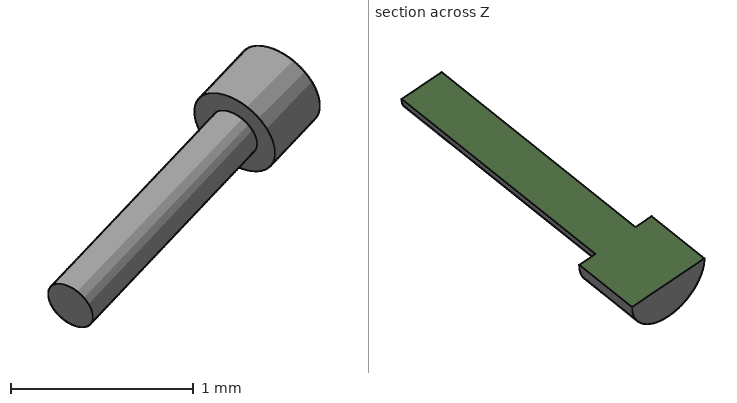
import cadquery as cq

total_length = 2.0
head_length = 0.43
head_diameter = 0.54
shank_diameter = 0.3

shank_length = total_length - head_length


def cylinder_along_y(diameter, start_y, length):
    """Solid cylinder on the Y axis, growing from start_y toward +Y."""
    circle_plane = cq.Workplane("XZ", origin=(0, start_y, 0))
    return circle_plane.circle(diameter / 2).extrude(-length)


shank = cylinder_along_y(shank_diameter, 0, shank_length)
head = cylinder_along_y(head_diameter, shank_length, head_length)

result = shank.union(head)